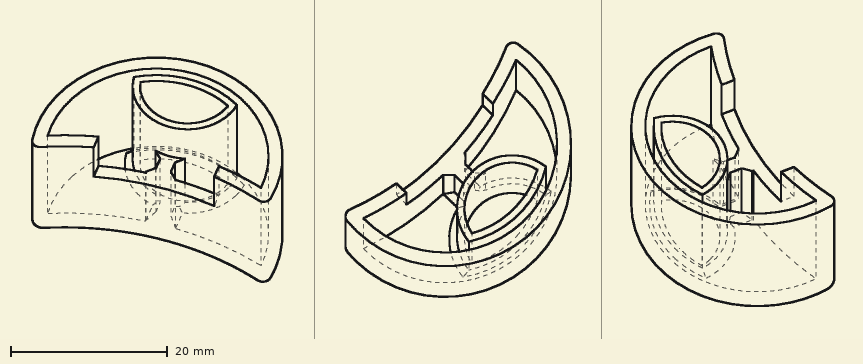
import cadquery as cq
import math

height = 18.0
outer_radius = 16.1
wall = 1.8
floor = 2.0
front_radius = 39.15
front_center = (1.25, -39.3)
tip_fillet = 1.0
bottom_fillet = 2.0

window_width = 16.1
window_depth = 6.02
window_back = 3.22

tube_center_y = 12.08
tube_front_radius = 7.02
tube_back_radius = 13.25
tube_wall = 0.95
foot_spread = 1.0
foot_back_spread = 0.5
foot_height = 1.0

rib_half_width = 1.0
rib_flare = 1.0
rib_front_y = 1.7
rib_back_y = 5.3
rib_overlap = 0.65

rib_top = height - window_depth


def crescent(inset, bottom):
    """Crescent prism inset from the outer outline, reaching the rim."""
    depth = height - bottom
    disc = cq.Workplane("XY").workplane(offset=bottom).circle(outer_radius - inset).extrude(depth)
    hollow = (
        cq.Workplane("XY").workplane(offset=bottom).center(*front_center)
        .circle(front_radius + inset).extrude(depth)
    )
    return disc.cut(hollow)


def lens(plane, front_r, back_r):
    """Closed outline of the overlap of the front and back circles."""
    tip_y = (back_r**2 - front_r**2 + tube_center_y**2) / (2 * tube_center_y)
    tip_x = math.sqrt(back_r**2 - tip_y**2)
    return (
        plane.moveTo(-tip_x, tip_y)
        .threePointArc((0, back_r), (tip_x, tip_y))
        .threePointArc((0, tube_center_y - front_r), (-tip_x, tip_y))
        .close()
    )


def make_tube():
    """Solid tube body with a sloping foot on the cup floor."""
    base = cq.Workplane("XY").workplane(offset=floor)
    body = lens(base, tube_front_radius, tube_back_radius).extrude(height - floor)
    foot = lens(base, tube_front_radius + foot_spread, tube_back_radius + foot_back_spread)
    foot = lens(foot.workplane(offset=foot_height), tube_front_radius, tube_back_radius)
    return body.union(foot.loft(ruled=True, combine=True))


def make_rib():
    """Rib flared at both ends, with a sloping foot on each side."""
    wide = rib_half_width + rib_flare
    y_start = rib_front_y - rib_overlap
    y_end = rib_back_y + rib_overlap
    right_side = [
        (wide, y_start),
        (wide, rib_front_y),
        (rib_half_width, rib_front_y + rib_flare),
        (rib_half_width, rib_back_y - rib_flare),
        (wide, rib_back_y),
        (wide, y_end),
    ]
    left_side = [(-x, y) for x, y in reversed(right_side)]
    web = (
        cq.Workplane("XY").workplane(offset=floor)
        .polyline(right_side + left_side).close().extrude(rib_top - floor)
    )
    foot_half_width = rib_half_width + foot_spread
    foot = (
        cq.Workplane("XZ", origin=(0, rib_back_y, floor))
        .polyline([
            (-foot_half_width, 0),
            (foot_half_width, 0),
            (rib_half_width, foot_height),
            (-rib_half_width, foot_height),
        ])
        .close().extrude(rib_back_y - rib_front_y)
    )
    return web.union(foot)


shell = crescent(0, 0).edges("|Z").fillet(tip_fillet)
shell = shell.faces("<Z").edges().fillet(bottom_fillet)
shell = shell.cut(crescent(wall, floor))

window = (
    cq.Workplane("XY").workplane(offset=rib_top)
    .rect(window_width, 2 * window_back).extrude(window_depth)
)
bore = lens(
    cq.Workplane("XY").workplane(offset=floor),
    tube_front_radius - tube_wall,
    tube_back_radius - tube_wall,
).extrude(height - floor)

result = shell.cut(window).union(make_rib()).union(make_tube()).cut(bore)